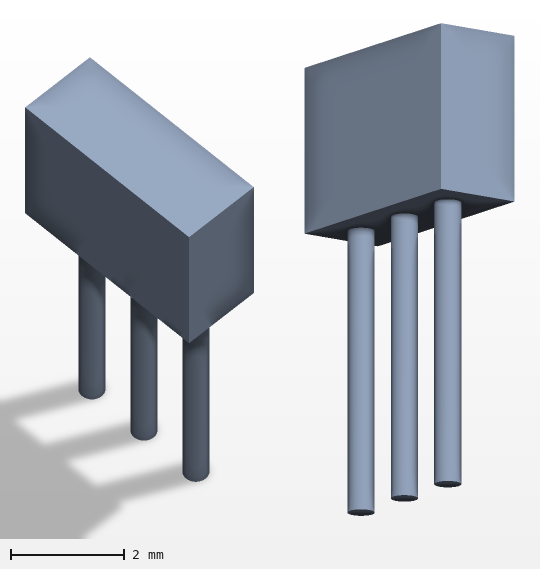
import cadquery as cq

housing_width = 4.1
housing_depth = 1.6
housing_height = 3.0

lead_count = 3
lead_diameter = 0.48
lead_pitch = 1.3
lead_offset_y = 0.11
overall_height = 8.1
lead_length = overall_height - housing_height


def make_housing():
    """Plain block standing on the Z = 0 plane."""
    return cq.Workplane("XY").box(
        housing_width, housing_depth, housing_height, centered=(True, True, False)
    )


def make_lead(x):
    """Round lead hanging from the underside of the housing."""
    return (
        cq.Workplane("XY")
        .center(x, lead_offset_y)
        .circle(lead_diameter / 2)
        .extrude(-lead_length)
    )


housing = make_housing()

leads = []
for index in range(lead_count):
    lead_x = (index - (lead_count - 1) / 2) * lead_pitch
    leads.append(make_lead(lead_x).val())

result = cq.Compound.makeCompound([housing.val(), *leads])